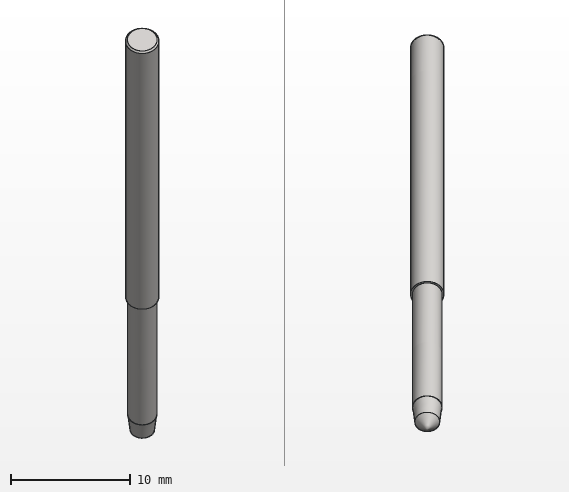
import cadquery as cq

LENGTH = 51.05
COLLAR_BOTTOM = 46.1
SHOULDER_HEIGHT = 18.0
STEM_SEAM = 10.1
NOSE_TOP = 2.95
CONE_HEIGHT = 1.0

BARREL_DIAMETER = 2.8
STEM_DIAMETER = 2.5
NOSE_DIAMETER = 2.45
CONE_DIAMETER = 2.1

TOP_CHAMFER = 0.15


def make_cylinder(diameter, bottom, top):
    """Upright cylinder on the Z axis between two heights."""
    return cq.Workplane("XY").workplane(offset=bottom).circle(diameter / 2).extrude(top - bottom)


def make_barrel():
    """Thick rod of two flush lengths, chamfered at the top."""
    body = make_cylinder(BARREL_DIAMETER, SHOULDER_HEIGHT, COLLAR_BOTTOM)
    collar = make_cylinder(BARREL_DIAMETER, COLLAR_BOTTOM, LENGTH).faces(">Z").chamfer(TOP_CHAMFER)
    return body.union(collar, clean=False)


def make_tip():
    """Lower end of the plunger: a stem stepping down to a tapered nose and a sharp cone."""
    stem_radius = STEM_DIAMETER / 2
    outline = cq.Workplane("XZ").polyline([
        (0, 0),
        (CONE_DIAMETER / 2, CONE_HEIGHT),
        (NOSE_DIAMETER / 2, NOSE_TOP),
        (stem_radius, NOSE_TOP),
        (stem_radius, STEM_SEAM),
        (0, STEM_SEAM),
    ]).close()
    return outline.revolve(360, (0, 0, 0), (0, 1, 0))


def make_plunger():
    """Slim stem that meets the barrel at the shoulder and ends in the pointed tip."""
    stem = make_cylinder(STEM_DIAMETER, STEM_SEAM, SHOULDER_HEIGHT)
    return stem.union(make_tip(), clean=False)


barrel = make_barrel()
plunger = make_plunger()

result = cq.Compound.makeCompound([barrel.val(), plunger.val()])